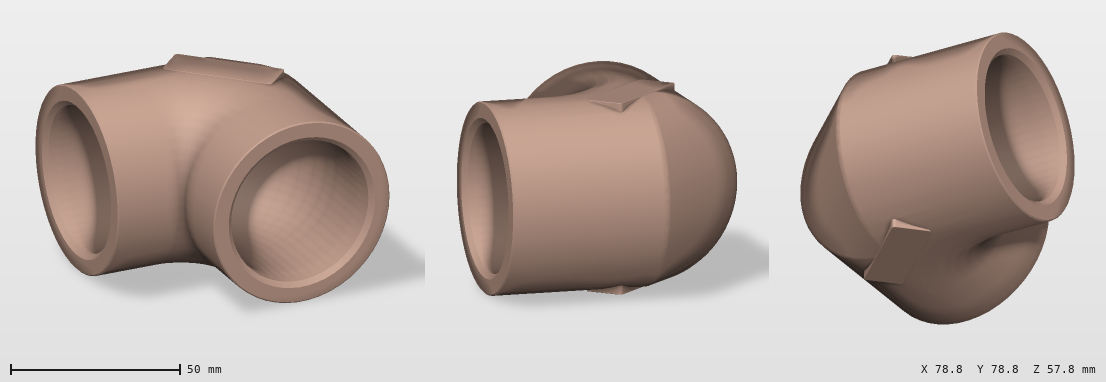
import cadquery as cq
import math

OVERALL = 78.8
OUTER_DIAMETER = 57.6
OUTER_RADIUS = OUTER_DIAMETER / 2
LEG_LENGTH = OVERALL - OUTER_RADIUS
RIM_CHAMFER = 0.4

MITRE_OFFSET = 2.05
MITRE_FILLET = 2.75
FILLET_HALF_HEIGHT = 28.6

INNER_WALL_GAP = 1.35
BEND_RADIUS = OUTER_RADIUS + INNER_WALL_GAP

BORE_RADIUS = 44.8 / 2
MOUTH_CHAMFER = 1.5
BORE_BEND_RADIUS = 26.0

LABEL_LENGTH = 34.35
LABEL_WIDTH = 12.0
LABEL_HEIGHT = 57.75
LABEL_CORNER_RADIUS = 1.0
LABEL_EDGE_FILLET = 0.15
LABEL_OFFSET = 3.8
LABEL_ANGLE = 45


def two_legs(radius, start):
    """Two round bars, from a distance `start` off the corner to the two mouths."""
    length = LEG_LENGTH - start
    leg_x = cq.Workplane("YZ", origin=(start, 0, 0)).circle(radius).extrude(length)
    leg_y = cq.Workplane("XZ", origin=(0, -start, 0)).circle(radius).extrude(length)
    return leg_x.union(leg_y)


def mitre_segment():
    """Oblique cylinder that joins the round ends of the two legs."""
    reach = OVERALL
    diagonal = cq.Plane(
        origin=(-reach, -reach - MITRE_OFFSET, 0), xDir=(1, -1, 0), normal=(1, 1, 0)
    )
    bar = (
        cq.Workplane(diagonal)
        .ellipse(OUTER_RADIUS / math.sqrt(2), OUTER_RADIUS)
        .extrude(2 * reach * math.sqrt(2))
    )
    corner = (
        cq.Workplane("XY")
        .box(reach, reach, reach, centered=(False, False, True))
        .translate((MITRE_OFFSET - reach, -MITRE_OFFSET, 0))
    )
    return bar.intersect(corner)


def mitred_elbow():
    """Solid legs and oblique segment, with the two outer mitre edges rounded."""
    legs = two_legs(OUTER_RADIUS, MITRE_OFFSET).faces(">X or <Y").chamfer(RIM_CHAMFER)
    sharp = legs.union(mitre_segment())
    slab = cq.Workplane("XY").box(2 * OVERALL, 2 * OVERALL, 2 * FILLET_HALF_HEIGHT)
    y_mitre_zone = cq.selectors.BoxSelector(
        (-OUTER_RADIUS, -2 * MITRE_OFFSET, -OUTER_RADIUS),
        (-OUTER_RADIUS / 2, 0, OUTER_RADIUS),
    )
    x_mitre_zone = cq.selectors.BoxSelector(
        (0, OUTER_RADIUS / 2, -OUTER_RADIUS),
        (2 * MITRE_OFFSET, OUTER_RADIUS, OUTER_RADIUS),
    )
    middle = sharp.intersect(slab).edges(y_mitre_zone + x_mitre_zone).fillet(MITRE_FILLET)
    return middle.union(sharp.cut(slab))


def inner_bend():
    """Quarter torus on the inside of the bend, with flat patches at its crest."""
    square = (
        cq.Workplane("XY")
        .box(BEND_RADIUS, BEND_RADIUS, OUTER_DIAMETER, centered=(False, False, True))
        .translate((0, -BEND_RADIUS, 0))
    )
    groove = (
        cq.Workplane("XZ")
        .moveTo(0, -OUTER_RADIUS)
        .lineTo(BEND_RADIUS, -OUTER_RADIUS)
        .threePointArc((INNER_WALL_GAP, 0), (BEND_RADIUS, OUTER_RADIUS))
        .lineTo(0, OUTER_RADIUS)
        .close()
        .revolve(360, (0, 0, 0), (0, 1, 0))
        .translate((BEND_RADIUS, -BEND_RADIUS, 0))
    )
    return square.cut(groove)


def bend_bore():
    """Quarter turn of the bore between its two straight lengths."""
    return (
        cq.Workplane("YZ", origin=(BORE_BEND_RADIUS, 0, 0))
        .circle(BORE_RADIUS)
        .revolve(90, (-BORE_BEND_RADIUS, -0.8, 0), (-BORE_BEND_RADIUS, 0.8, 0))
    )


def label_block():
    """One tall block that stands proud of the body at the top and at the bottom."""
    return (
        cq.Workplane("XY")
        .box(LABEL_LENGTH, LABEL_WIDTH, LABEL_HEIGHT)
        .edges("|Z")
        .fillet(LABEL_CORNER_RADIUS)
        .faces("<Z or >Z")
        .edges()
        .fillet(LABEL_EDGE_FILLET)
        .rotate((0, 0, 0), (0, 0, 1), LABEL_ANGLE)
        .translate((LABEL_OFFSET, -LABEL_OFFSET, 0))
    )


def mouth_chamfer(plane, origin):
    """Cone that widens the bore toward the mouth at `origin`."""
    return (
        cq.Workplane(plane, origin=origin)
        .circle(BORE_RADIUS + MOUTH_CHAMFER)
        .workplane(offset=-MOUTH_CHAMFER)
        .circle(BORE_RADIUS)
        .loft()
    )


body = mitred_elbow().union(inner_bend()).union(label_block())
body = body.cut(two_legs(BORE_RADIUS, BORE_BEND_RADIUS).union(bend_bore()))
body = body.cut(mouth_chamfer("YZ", (LEG_LENGTH, 0, 0)))
result = body.cut(mouth_chamfer("XZ", (0, -LEG_LENGTH, 0)))